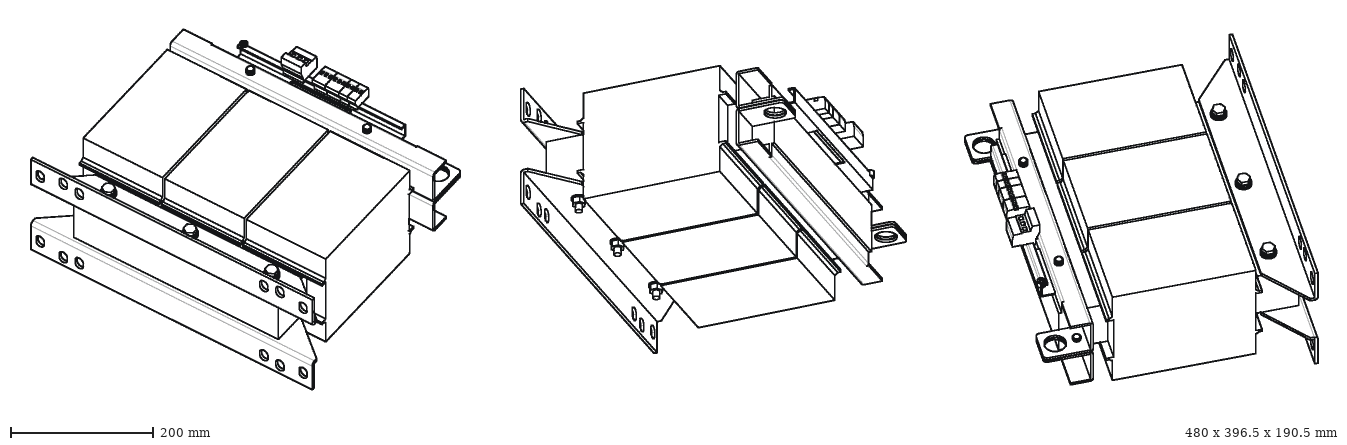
import cadquery as cq


CORE_LENGTH = 349.5
CORE_HALF_HEIGHT = 37.5
CORE_FRONT = 11.0
CORE_BACK = 359.5
WINDOW_FRONT = 81.5
WINDOW_BACK = 288.0
COIL_COUNT = 3
COIL_PITCH = 139.0
COIL_WIDTH = 135.5
COIL_BACK = 290.0
COIL_HEIGHT = 169.0
FLANGE_REACH = 9.0
FLANGE_LIP = 4.0
FLANGE_RISE = 7.5
FLANGE_OVERLAP = 5.0

FOOT_LENGTH = 480.0
FOOT_TOP = 91.5
FOOT_SHEET = 5.0
FOOT_BEND = 6.0
FOOT_REACH = 66.0
FOOT_TAPER_START = 11.0
SLOT_LENGTH = 20.0
SLOT_WIDTH = 13.5
SLOT_CENTRES = [(224.0, 66.0), (185.0, 75.0), (157.5, 70.5)]

BOLT_Y = 46.0
BOLT_DIAMETER = 10.0
BOLT_HEX = 17.0
BOLT_WASHER = 23.0
SPRING_WASHER = 19.0
WASHER_HEIGHT = 3.0
SPRING_WASHER_HEIGHT = 3.5
BOLT_HEAD_HEIGHT = 6.0
NUT_WASHER = 21.0
NUT_WASHER_HEIGHT = 2.0
NUT_HEIGHT = 8.5
BOLT_END = -63.0

FRAME_LENGTH = 448.5
FRAME_FRONT = 322.0
FRAME_BACK = 355.0
FRAME_TOP = 59.0
FRAME_SHEET = 4.0
FRAME_BEND = 5.5
LIP_BEND = 3.5
FRAME_HALF_GAP = 0.5
LUG_BACK = 393.5
LUG_WIDTH = 49.5
LUG_CORNER = 6.0
LUG_HOLE = 31.0
LUG_HOLE_Y = 371.0

SCREW_X = 99.5
SCREW_Y = 340.0
SCREW_DIAMETER = 6.0
SCREW_HEAD = 10.0
SCREW_WASHER = 12.5
SCREW_WASHER_HEIGHT = 1.5
SCREW_HEAD_HEIGHT = 7.5
SCREW_COLLAR_LEVEL = 4.5
LUG_NUT_HEIGHT = 6.0
LUG_NUT_COLLAR_LEVEL = 3.0
SCREW_NUT_HEIGHT = 7.0

BRACKET_LENGTH = 280.5
BRACKET_SHEET = 2.0
BRACKET_FRONT = 320.0
BRACKET_BACK = 376.5
BRACKET_BOTTOM = 40.5
TAB_LENGTH = 89.5
STIFFENER_WIDTH = 5.0
RAIL_FRONT = 366.0
RAIL_BOTTOM = 62.0
RAIL_TOP = 65.0
RAIL_EDGE = 2.5
STUD_Y = 374.5
STUD_DIAMETER = 11.5
STUD_BOTTOM = 58.0
STUD_TOP = 66.5
STUD_SOCKET = 6.0
STUD_SOCKET_DEPTH = 3.0

LARGE_BLOCK_START = -58.5
LARGE_BLOCK_WIDTH = 34.0
LARGE_BLOCK_PROFILE = [
    (396.5, 64.5), (396.5, 79.5), (395.0, 88.0), (383.0, 88.5), (383.0, 90.0), (370.0, 90.0),
    (367.5, 99.0), (356.5, 99.0), (356.5, 85.5), (361.0, 74.0), (360.0, 71.5),
    (362.5, 71.5), (362.5, 62.0), (369.5, 62.0), (369.5, 64.5),
]
LARGE_SOCKET_COUNT = 3
LARGE_SOCKET_PITCH = 10.5
LARGE_SOCKET_SIZE = (6.0, 6.0)
SMALL_BLOCK_START = -6.0
SMALL_BLOCKS = [(21.5, 3), (23.5, 3), (14.5, 2), (14.5, 2)]
SMALL_BLOCK_PROFILE = [
    (391.0, 64.5), (391.0, 78.0), (390.0, 83.0), (381.5, 84.0), (358.0, 84.0), (358.0, 77.0),
    (362.5, 69.0), (362.5, 62.0), (369.5, 62.0), (369.5, 64.5),
]
SMALL_SOCKET_PITCH = 7.0
SMALL_SOCKET_SIZE = (3.6, 5.5)
SOCKET_Y = 377.0
SOCKET_FLOOR = 80.0
BLOCK_GAP = 0.5


def box(x_range, y_range, z_range):
    """Box between the given limits along each axis."""
    sizes = [high - low for low, high in (x_range, y_range, z_range)]
    corner = (x_range[0], y_range[0], z_range[0])
    return cq.Workplane("XY").box(*sizes, centered=False).translate(corner)


def centred_bar(outline, length):
    """Extrude a (Y, Z) outline along X, centred on X = 0."""
    return cq.Workplane("YZ").polyline(outline).close().extrude(length / 2, both=True)


def cylinder(x, y, diameter, bottom, top):
    return cq.Workplane("XY", origin=(x, y, bottom)).circle(diameter / 2).extrude(top - bottom)


def hexagon(x, y, across_flats, bottom, top):
    plane = cq.Workplane("XY", origin=(x, y, bottom))
    return plane.polygon(6, across_flats, circumscribed=True).extrude(top - bottom)


def with_mirror(body):
    """Join a body to its reflection below the core mid-plane."""
    return body.union(body.mirror("XY"))


def make_core():
    half = CORE_LENGTH / 2
    height = (-CORE_HALF_HEIGHT, CORE_HALF_HEIGHT)
    front_yoke = box((-half, half), (CORE_FRONT, WINDOW_FRONT), height)
    back_yoke = box((-half, half), (WINDOW_BACK, CORE_BACK), height)
    return front_yoke.union(back_yoke)


def bobbin_flange(face, outward):
    """(Y, Z) outline of the bobbin flange on one coil end; outward is -1 or +1."""
    tip = face + outward * FLANGE_REACH
    shoulder = face + outward * (FLANGE_REACH / 2)
    inner = face - outward * FLANGE_OVERLAP
    low = CORE_HALF_HEIGHT
    return [
        (inner, low), (tip, low), (tip, low + FLANGE_LIP), (shoulder, low + FLANGE_LIP),
        (face, low + FLANGE_RISE), (inner, low + FLANGE_RISE),
    ]


def make_coil():
    half_width = COIL_WIDTH / 2
    half_height = COIL_HEIGHT / 2
    across = (-half_width, half_width)
    coil = box(across, (WINDOW_FRONT, COIL_BACK), (-half_height, half_height))
    recess = box(across, (WINDOW_BACK, COIL_BACK), (-CORE_HALF_HEIGHT, CORE_HALF_HEIGHT))
    coil = coil.cut(recess)
    for face, outward in ((WINDOW_FRONT, -1), (COIL_BACK, 1)):
        coil = coil.union(with_mirror(centred_bar(bobbin_flange(face, outward), COIL_WIDTH)))
    return coil


def make_upper_foot():
    """Angle with a slotted upright and a tapered flange resting on the core."""
    low = CORE_HALF_HEIGHT
    outline = [
        (0, low), (FOOT_REACH, low), (FOOT_REACH, low + FOOT_SHEET),
        (FOOT_SHEET, low + FOOT_SHEET), (FOOT_SHEET, FOOT_TOP), (0, FOOT_TOP),
    ]
    foot = centred_bar(outline, FOOT_LENGTH).edges("|X and <Y and <Z").fillet(FOOT_BEND)

    half = FOOT_LENGTH / 2
    taper = [
        (-half, 0), (half, 0), (half, FOOT_TAPER_START), (CORE_LENGTH / 2, FOOT_REACH),
        (-CORE_LENGTH / 2, FOOT_REACH), (-half, FOOT_TAPER_START),
    ]
    foot = foot.intersect(cq.Workplane("XY").polyline(taper).close().extrude(FOOT_TOP))

    centres = [(side * x, z) for side in (-1, 1) for x, z in SLOT_CENTRES]
    slots = cq.Workplane("XZ").pushPoints(centres).slot2D(SLOT_LENGTH, SLOT_WIDTH, 90)
    return foot.cut(slots.extrude(-2 * FOOT_SHEET))


def make_clamping_bolt(x):
    washer_top = CORE_HALF_HEIGHT + FOOT_SHEET + WASHER_HEIGHT
    spring_top = washer_top + SPRING_WASHER_HEIGHT
    nut_washer_bottom = -CORE_HALF_HEIGHT - FOOT_SHEET - NUT_WASHER_HEIGHT
    bolt = cylinder(x, BOLT_Y, BOLT_DIAMETER, BOLT_END, spring_top)
    bolt = bolt.union(cylinder(x, BOLT_Y, BOLT_WASHER, CORE_HALF_HEIGHT, washer_top))
    bolt = bolt.union(cylinder(x, BOLT_Y, SPRING_WASHER, washer_top, spring_top))
    bolt = bolt.union(hexagon(x, BOLT_Y, BOLT_HEX, spring_top, spring_top + BOLT_HEAD_HEIGHT))
    bolt = bolt.union(cylinder(x, BOLT_Y, NUT_WASHER, nut_washer_bottom, -CORE_HALF_HEIGHT))
    return bolt.union(hexagon(x, BOLT_Y, BOLT_HEX, nut_washer_bottom - NUT_HEIGHT, nut_washer_bottom))


def make_upper_channel():
    """Channel whose lower flange carries the lifting lugs and whose upper flange is lipped."""
    half = FRAME_LENGTH / 2
    lug_inner = half - LUG_WIDTH
    low = FRAME_HALF_GAP
    web_back = FRAME_FRONT + FRAME_SHEET
    outline = [
        (FRAME_FRONT, low), (FRAME_BACK, low), (FRAME_BACK, low + FRAME_SHEET),
        (web_back, low + FRAME_SHEET), (web_back, FRAME_TOP - FRAME_SHEET),
        (FRAME_BACK, FRAME_TOP - FRAME_SHEET), (FRAME_BACK, FRAME_TOP), (FRAME_FRONT, FRAME_TOP),
    ]
    channel = centred_bar(outline, FRAME_LENGTH).edges("|X and <Y").fillet(FRAME_BEND)

    lip_depth = (FRAME_BACK - FRAME_SHEET, FRAME_BACK)
    lip_space = ((-lug_inner, lug_inner), lip_depth, (CORE_HALF_HEIGHT, FRAME_TOP))
    lip = box(*lip_space).edges("|X and >Y and >Z").fillet(LIP_BEND)
    channel = channel.cut(box(*lip_space)).union(lip)

    for side in (-1, 1):
        ends = sorted((side * lug_inner, side * half))
        lug = box(ends, (web_back, LUG_BACK), (low, low + FRAME_SHEET))
        lug = lug.edges("|Z and >Y").fillet(LUG_CORNER)
        lug_centre = side * (half + lug_inner) / 2
        hole = cylinder(lug_centre, LUG_HOLE_Y, LUG_HOLE, 0, low + FRAME_SHEET)
        channel = channel.union(lug.cut(hole))
    return channel


def make_collared_stud(x, seat, height, collar_level):
    """Round stud standing on the plane Z = seat, with a wider collar part way up."""
    collar_bottom = seat + collar_level
    collar = cylinder(x, SCREW_Y, SCREW_WASHER, collar_bottom, collar_bottom + SCREW_WASHER_HEIGHT)
    return cylinder(x, SCREW_Y, SCREW_HEAD, seat, seat + height).union(collar)


def make_bracket_screw(x):
    shank = cylinder(x, SCREW_Y, SCREW_DIAMETER, CORE_HALF_HEIGHT, FRAME_TOP)
    nut = hexagon(x, SCREW_Y, SCREW_HEAD, CORE_HALF_HEIGHT, CORE_HALF_HEIGHT + SCREW_NUT_HEIGHT)
    washer = cylinder(x, SCREW_Y, SCREW_WASHER, FRAME_TOP, FRAME_TOP + SCREW_WASHER_HEIGHT)
    head = make_collared_stud(x, FRAME_TOP, SCREW_HEAD_HEIGHT, SCREW_COLLAR_LEVEL)
    return shank.union(nut).union(washer).union(head)


def make_lug_nut(x):
    seat = FRAME_HALF_GAP + FRAME_SHEET
    shank = cylinder(x, SCREW_Y, SCREW_DIAMETER, -seat, seat)
    return shank.union(make_collared_stud(x, seat, LUG_NUT_HEIGHT, LUG_NUT_COLLAR_LEVEL))


def make_terminal_bracket():
    half = BRACKET_LENGTH / 2
    bracket = box((-half, half), (BRACKET_BACK - BRACKET_SHEET, BRACKET_BACK), (BRACKET_BOTTOM, RAIL_TOP))
    bottom_sheet = (BRACKET_BOTTOM, BRACKET_BOTTOM + BRACKET_SHEET)
    stiffener = box((-half, half), (BRACKET_BACK - STIFFENER_WIDTH, BRACKET_BACK), bottom_sheet)
    bracket = bracket.union(stiffener)
    for side in (-1, 1):
        ends = sorted((side * half, side * (half - TAB_LENGTH)))
        bracket = bracket.union(box(ends, (BRACKET_FRONT, BRACKET_BACK), bottom_sheet))
    rail = box((-half, half), (RAIL_FRONT, BRACKET_BACK), (RAIL_BOTTOM, RAIL_TOP))
    bracket = bracket.union(rail).edges("|X and >Y and >Z").fillet(RAIL_EDGE)

    stud_x = -half + STUD_DIAMETER / 2
    stud = cylinder(stud_x, STUD_Y, STUD_DIAMETER, STUD_BOTTOM, STUD_TOP)
    socket = hexagon(stud_x, STUD_Y, STUD_SOCKET, STUD_TOP - STUD_SOCKET_DEPTH, STUD_TOP)
    return bracket.union(stud.cut(socket))


def make_terminal_block(profile, start, width, socket_count, socket_pitch, socket_size):
    """Terminal block from a (Y, Z) profile, with a centred row of wire sockets in its top."""
    block = cq.Workplane("YZ", origin=(start, 0, 0)).polyline(profile).close().extrude(width)
    block_top = max(z for _, z in profile)
    row = cq.Workplane("XY", origin=(start + width / 2, SOCKET_Y, SOCKET_FLOOR))
    row = row.rarray(socket_pitch, 5, socket_count, 1).rect(*socket_size)
    return block.cut(row.extrude(block_top - SOCKET_FLOOR))


def make_small_blocks():
    """Row of small terminal blocks parted by narrow gaps, all standing on the rail."""
    blocks = None
    start = SMALL_BLOCK_START
    for width, sockets in SMALL_BLOCKS:
        block = make_terminal_block(
            SMALL_BLOCK_PROFILE, start, width - BLOCK_GAP, sockets, SMALL_SOCKET_PITCH, SMALL_SOCKET_SIZE
        )
        blocks = block if blocks is None else blocks.union(block)
        start += width
    return blocks


result = make_core()
coil_positions = [(i - (COIL_COUNT - 1) / 2) * COIL_PITCH for i in range(COIL_COUNT)]
for coil_x in coil_positions:
    result = result.union(make_coil().translate((coil_x, 0, 0)))

result = result.union(with_mirror(make_upper_foot()))
for coil_x in coil_positions:
    result = result.union(make_clamping_bolt(coil_x))

result = result.union(with_mirror(make_upper_channel()))
result = result.union(make_terminal_bracket())
for side in (-1, 1):
    result = result.union(make_bracket_screw(side * SCREW_X))
    result = result.union(make_lug_nut(side * (FRAME_LENGTH - LUG_WIDTH) / 2))

result = result.union(
    make_terminal_block(
        LARGE_BLOCK_PROFILE, LARGE_BLOCK_START, LARGE_BLOCK_WIDTH,
        LARGE_SOCKET_COUNT, LARGE_SOCKET_PITCH, LARGE_SOCKET_SIZE,
    )
)
result = result.union(make_small_blocks())